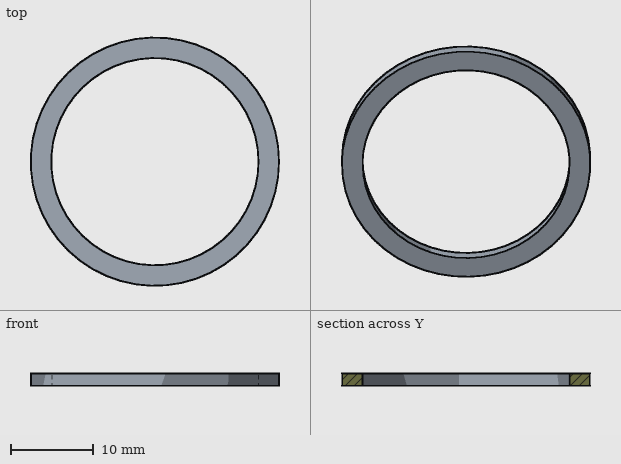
import cadquery as cq

outer_diameter = 30.0
inner_diameter = 25.0
thickness = 1.5

result = (
    cq.Workplane("XY")
    .circle(outer_diameter / 2)
    .circle(inner_diameter / 2)
    .extrude(thickness)
)